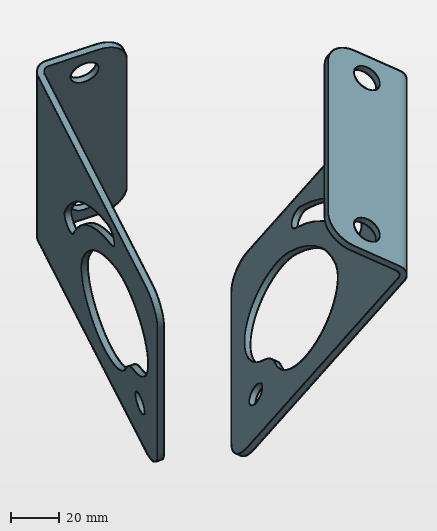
import cadquery as cq
import math

length = 136.4
flange_depth = 41.2
height = 114.3
thickness = 3.0
bend_radius = 6.1
corner_radius = 12.8

pivot_x = 117.3
pivot_z = 25.5
pivot_hole_radius = 5.0
start_angle = 113.5
end_angle = 159.2
slot_path_radius = 82.7
slot_half_width = 5.0
window_path_radius = 41.3
window_half_width = 25.2

mount_hole_radius = 6.3
mount_hole_y = 22.2
mount_hole_edge = 12.8


def bent_plate():
    """L-shaped sheet: main plate along X, flange along Y, rounded bend."""
    outer = cq.Workplane("XY").box(length, flange_depth, height, centered=False)
    outer = outer.edges("|Z and <X and <Y").fillet(bend_radius)
    inner = (
        cq.Workplane("XY")
        .box(length, flange_depth, height, centered=False)
        .edges("|Z and <X and <Y")
        .fillet(bend_radius - thickness)
        .translate((thickness, thickness, 0))
    )
    plate = outer.cut(inner)
    plate = plate.edges("|Y and >X").fillet(corner_radius)
    return plate.edges("|X and >Y").fillet(corner_radius)


def polar_point(radius, angle):
    """Point at a polar position about the pivot."""
    theta = math.radians(angle)
    return (pivot_x + radius * math.cos(theta), pivot_z + radius * math.sin(theta))


def curved_slot(path_radius, half_width):
    """Cutter for a round-ended slot that follows an arc about the pivot."""
    outer_radius = path_radius + half_width
    inner_radius = path_radius - half_width
    middle_angle = (start_angle + end_angle) / 2

    def end_cap_tip(angle, direction):
        x, z = polar_point(path_radius, angle)
        theta = math.radians(angle + direction * 90)
        return (x + half_width * math.cos(theta), z + half_width * math.sin(theta))

    return (
        cq.Workplane("XZ")
        .moveTo(*polar_point(outer_radius, start_angle))
        .threePointArc(polar_point(outer_radius, middle_angle), polar_point(outer_radius, end_angle))
        .threePointArc(end_cap_tip(end_angle, 1), polar_point(inner_radius, end_angle))
        .threePointArc(polar_point(inner_radius, middle_angle), polar_point(inner_radius, start_angle))
        .threePointArc(end_cap_tip(start_angle, -1), polar_point(outer_radius, start_angle))
        .close()
        .extrude(-thickness)
    )


def pivot_hole():
    return (
        cq.Workplane("XZ")
        .center(pivot_x, pivot_z)
        .circle(pivot_hole_radius)
        .extrude(-thickness)
    )


def mount_holes():
    hole_heights = (mount_hole_edge, height - mount_hole_edge)
    return (
        cq.Workplane("YZ")
        .pushPoints([(mount_hole_y, z) for z in hole_heights])
        .circle(mount_hole_radius)
        .extrude(thickness)
    )


result = (
    bent_plate()
    .cut(curved_slot(slot_path_radius, slot_half_width))
    .cut(curved_slot(window_path_radius, window_half_width))
    .cut(pivot_hole())
    .cut(mount_holes())
)